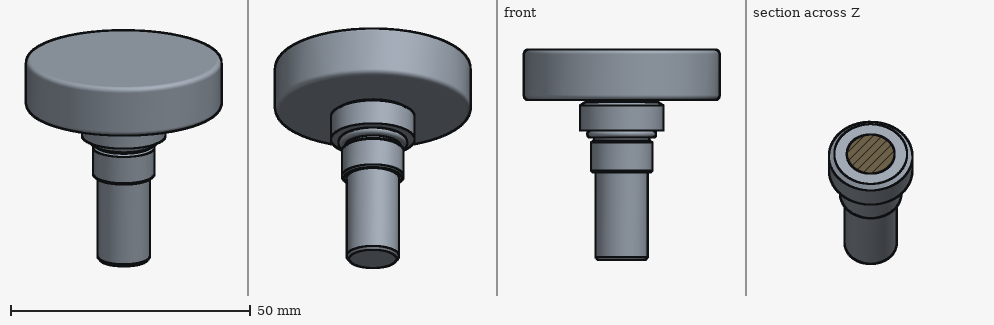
import cadquery as cq

total_height = 44.0
head_bottom = 33.4
collar_top = 33.0
collar_bottom = 27.05
groove_bottom = 25.0
pilot_bottom = 18.3

head_radius = 20.5
neck_radius = 5.0
collar_radius = 8.75
groove_radius = 5.8
pilot_radius = 6.45
shank_radius = 5.5

head_fillet = 1.0
collar_chamfer_height = 0.75
collar_chamfer_width = 1.15
pilot_top_chamfer_height = 0.5
pilot_bottom_chamfer = 0.45
shank_chamfer_height = 0.65
shank_chamfer_width = 0.55

ring_section_radius = 0.75
ring_outer_radius = 7.2


def make_head():
    """Disc head with rounded rims."""
    head = cq.Workplane("XY").workplane(offset=head_bottom).circle(head_radius)
    return head.extrude(total_height - head_bottom).edges().fillet(head_fillet)


def make_stem():
    """Shank, pilot, ring groove, collar and neck, revolved about Z."""
    profile = [
        (0, 0),
        (shank_radius - shank_chamfer_width, 0),
        (shank_radius, shank_chamfer_height),
        (shank_radius, pilot_bottom),
        (pilot_radius - pilot_bottom_chamfer, pilot_bottom),
        (pilot_radius, pilot_bottom + pilot_bottom_chamfer),
        (pilot_radius, groove_bottom - pilot_top_chamfer_height),
        (groove_radius, groove_bottom),
        (groove_radius, collar_bottom),
        (collar_radius, collar_bottom),
        (collar_radius, collar_top - collar_chamfer_height),
        (collar_radius - collar_chamfer_width, collar_top),
        (neck_radius, collar_top),
        (neck_radius, head_bottom),
        (0, head_bottom),
    ]
    return cq.Workplane("XZ").polyline(profile).close().revolve(360, (0, 0, 0), (0, 1, 0))


def make_ring():
    """Ring with a rounded outer side, filling the groove corner beneath the collar."""
    rounded_from_radius = ring_outer_radius - ring_section_radius
    ring_bottom = collar_bottom - 2 * ring_section_radius
    section = (
        cq.Workplane("XZ")
        .moveTo(groove_radius, collar_bottom)
        .lineTo(rounded_from_radius, collar_bottom)
        .threePointArc(
            (ring_outer_radius, collar_bottom - ring_section_radius),
            (rounded_from_radius, ring_bottom),
        )
        .lineTo(groove_radius, ring_bottom)
        .close()
    )
    return section.revolve(360, (0, 0, 0), (0, 1, 0))


result = make_head().union(make_stem()).union(make_ring())